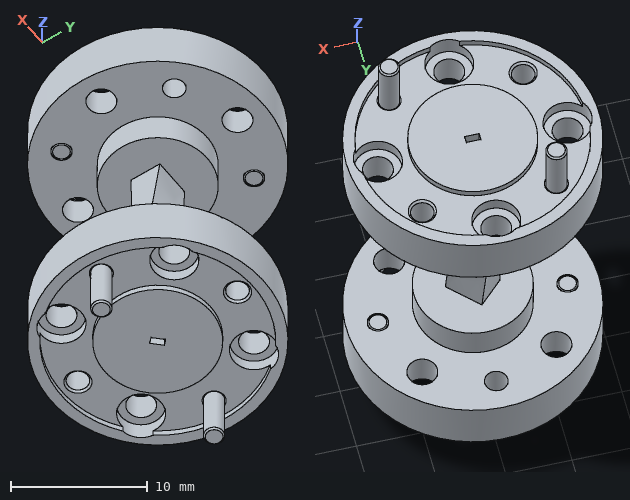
import cadquery as cq
import math

total_height = 33.15
pin_projection = 3.85
twist_angle = -45.0

flange_diameter = 19.05
flange_thickness = 4.1
hub_diameter = 8.85
hub_height = 2.52
recess_diameter = 17.25
boss_diameter = 9.5
recess_depth = 0.53

bolt_circle_diameter = 14.3
screw_hole_diameter = 2.25
counterbore_diameter = 3.58
counterbore_depth = 1.03
dowel_hole_diameter = 1.72
dowel_chamfer = 0.15
screw_angles = (0.0, 90.0, 180.0, 270.0)
dowel_hole_angles = (45.0, 225.0)
pin_angles = (135.0, 315.0)

pin_diameter = 1.55
pin_chamfer = 0.13
pin_hole_chamfer = 0.1

guide_width = 3.1
guide_depth = 2.6
bore_width = 1.1
bore_depth = 0.53

pin_tip_z = total_height / 2
face_z = pin_tip_z - pin_projection
recess_floor_z = face_z - recess_depth
flange_back_z = face_z - flange_thickness
hub_end_z = flange_back_z - hub_height


def bolt_circle_points(angles):
    """Points on the bolt circle at the given angles in degrees."""
    radius = bolt_circle_diameter / 2
    return [
        (radius * math.cos(math.radians(angle)), radius * math.sin(math.radians(angle)))
        for angle in angles
    ]


def cylinders(points, diameter, bottom_z, top_z):
    """One upright cylinder at each point."""
    plane = cq.Workplane("XY").workplane(offset=bottom_z).pushPoints(points)
    return plane.circle(diameter / 2).extrude(top_z - bottom_z)


def chamfered_holes(points, diameter, chamfer):
    """Cutter for through holes chamfered at the recess floor."""
    cutter = cylinders(points, diameter, flange_back_z, face_z)
    for x, y in points:
        mouth = cq.Solid.makeCone(
            diameter / 2,
            diameter / 2 + chamfer,
            chamfer,
            pnt=cq.Vector(x, y, recess_floor_z - chamfer),
        )
        cutter = cutter.union(cq.Workplane(mouth))
    return cutter


def make_flange():
    """Upper flange with its hub, face recess and all holes but the waveguide bore."""
    center = [(0, 0)]
    flange = cylinders(center, flange_diameter, flange_back_z, face_z)
    flange = flange.union(cylinders(center, hub_diameter, hub_end_z, flange_back_z))

    recess = cylinders(center, recess_diameter, recess_floor_z, face_z)
    recess = recess.cut(cylinders(center, boss_diameter, recess_floor_z, face_z))
    flange = flange.cut(recess)

    screw_points = bolt_circle_points(screw_angles)
    counterbore_floor_z = recess_floor_z - counterbore_depth
    flange = flange.cut(cylinders(screw_points, screw_hole_diameter, flange_back_z, face_z))
    flange = flange.cut(cylinders(screw_points, counterbore_diameter, counterbore_floor_z, face_z))

    dowel_points = bolt_circle_points(dowel_hole_angles)
    flange = flange.cut(chamfered_holes(dowel_points, dowel_hole_diameter, dowel_chamfer))
    pin_points = bolt_circle_points(pin_angles)
    return flange.cut(chamfered_holes(pin_points, pin_diameter, pin_hole_chamfer))


def make_pin(point):
    """Upper pin, flush with the back of the flange and chamfered at both ends."""
    pin = cylinders([point], pin_diameter, flange_back_z, pin_tip_z)
    return pin.faces("<Z or >Z").chamfer(pin_chamfer)


def place_below(part):
    """Turn a part of the upper flange over into its place on the lower flange."""
    flipped = part.rotate((0, 0, 0), (1, 0, 0), 180)
    return flipped.rotate((0, 0, 0), (0, 0, 1), twist_angle)


def twisted_bar(width, depth):
    """Straight-edged bar between the hubs whose lower end is turned by the twist angle."""
    lower_end = cq.Workplane("XY").workplane(offset=-hub_end_z)
    lower_end = lower_end.transformed(rotate=(0, 0, twist_angle)).rect(width, depth)
    upper_end = lower_end.transformed(rotate=(0, 0, -twist_angle), offset=(0, 0, 2 * hub_end_z))
    return upper_end.rect(width, depth).loft(ruled=True)


def make_waveguide():
    """Both flanges joined by the twisted guide, with the rectangular bore right through."""
    flange = make_flange()
    guide = twisted_bar(guide_width, guide_depth)
    body = flange.union(place_below(flange)).union(guide)

    flange_bore = cq.Workplane("XY").workplane(offset=hub_end_z)
    flange_bore = flange_bore.rect(bore_width, bore_depth).extrude(face_z - hub_end_z)
    body = body.cut(flange_bore).cut(place_below(flange_bore))
    return body.cut(twisted_bar(bore_width, bore_depth))


waveguide = make_waveguide()

pins = []
for pin_point in bolt_circle_points(pin_angles):
    upper_pin = make_pin(pin_point)
    pins.append(upper_pin.val())
    pins.append(place_below(upper_pin).val())

result = cq.Compound.makeCompound([waveguide.val(), *pins])